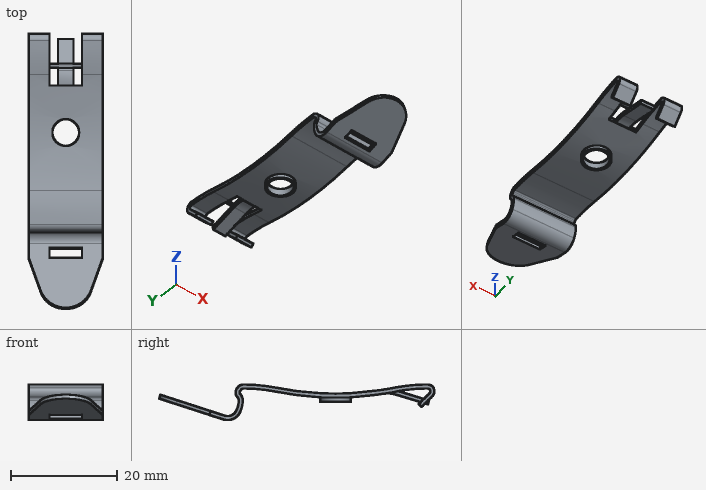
import cadquery as cq
import math


thickness = 0.8
half_thickness = thickness / 2
strip_width = 14.0

wave_half_length = 17.35
wave_rise = 1.72
inflection_y = 10.95
wave_angle = 2 * math.degrees(math.atan(wave_rise / wave_half_length))
wave_sine = math.sin(math.radians(wave_angle))
sag_radius = inflection_y / wave_sine + half_thickness
crown_radius = wave_half_length / wave_sine - sag_radius

hook_bend_radius = 0.9
hook_bend_angle = 135.0
hook_leg_length = 2.9

neck_bend_radius = 0.9
neck_entry_angle = 50.0
neck_flat_length = 0.3
neck_lean_angle = 43.0
neck_return_radius = 1.3
neck_wall_radius = 4.6
neck_wall_angle = 28.0
heel_radius = 2.2

tab_angle = 18.0
tab_straight_length = 2.77
tab_taper_angle = 19.0
tab_tip_radius = 5.0
tab_slot_start = 0.8
tab_slot_length = 2.0
tab_slot_width = 6.1

hole_diameter = 5.0
collar_diameter = 5.8
collar_depth = 0.8

window_width = tab_slot_width
window_start_y = 8.9
bar_start_y = 12.2
bar_width = 0.8
bar_thickness = 0.1
window_end_y = wave_half_length + 2 * (hook_bend_radius + half_thickness)
window_block_height = 20.0

tongue_width = 3.0
tongue_bend_radius = 6.0
tongue_slope = 17.0
tongue_leg_length = 6.2


def step(point, heading, distance):
    """Point at a distance from another one, along a heading in degrees in the YZ plane."""
    angle = math.radians(heading)
    return (point[0] + distance * math.cos(angle), point[1] + distance * math.sin(angle))


def arc_point(center, start_heading, turn, radius):
    """Point on an arc about a center, reached after a turn from the start heading."""
    return step(center, start_heading + turn - math.copysign(90, turn), radius)


def bent_sheet(start, heading, moves, width):
    """Sheet bent along a path of moves, and the point and heading where the path ends.

    A move is ("line", length) or ("arc", radius of the middle of the sheet, left turn).
    """
    left_edge = []
    right_edge = []
    point = start
    for move in moves:
        near_left = step(point, heading + 90, half_thickness)
        near_right = step(point, heading - 90, half_thickness)
        left_middle = None
        right_middle = None
        if move[0] == "line":
            point = step(point, heading, move[1])
        else:
            radius, turn = move[1:]
            side = math.copysign(1, turn)
            center = step(point, heading + 90 * side, radius)
            left_middle = arc_point(center, heading, turn / 2, radius - side * half_thickness)
            right_middle = arc_point(center, heading, turn / 2, radius + side * half_thickness)
            point = arc_point(center, heading, turn, radius)
            heading += turn
        left_edge.append((near_left, left_middle, step(point, heading + 90, half_thickness)))
        right_edge.append((near_right, right_middle, step(point, heading - 90, half_thickness)))

    outline = cq.Workplane("YZ").moveTo(*left_edge[0][0])
    for _, middle, end in left_edge:
        outline = outline.threePointArc(middle, end) if middle else outline.lineTo(*end)
    outline = outline.lineTo(*right_edge[-1][2])
    for start_point, middle, _ in reversed(right_edge):
        outline = outline.threePointArc(middle, start_point) if middle else outline.lineTo(*start_point)
    return outline.close().extrude(width / 2, both=True), point, heading


def hook_half():
    """Strip from the hole to the tip of the hook."""
    moves = [
        ("arc", sag_radius, wave_angle),
        ("arc", crown_radius, -wave_angle),
        ("arc", hook_bend_radius, -hook_bend_angle),
        ("line", hook_leg_length),
    ]
    return bent_sheet((0, -half_thickness), 0, moves, strip_width)[0]


def neck_half():
    """Strip from the hole to the heel, with the point and heading where the tab begins."""
    moves = [
        ("arc", sag_radius, -wave_angle),
        ("arc", crown_radius, wave_angle),
        ("arc", neck_bend_radius, neck_entry_angle),
        ("line", neck_flat_length),
        ("arc", neck_bend_radius, 90 + neck_lean_angle - neck_entry_angle),
        ("arc", neck_return_radius, -neck_lean_angle),
        ("arc", neck_wall_radius, -neck_wall_angle),
        ("arc", heel_radius, neck_wall_angle - 90 - tab_angle),
    ]
    return bent_sheet((0, -half_thickness), 180, moves, strip_width)


def tab(start, heading):
    """Flat tapered tab with a round tip and a cross slot."""
    normal = step((0, 0), heading + 90, 1)
    plane = cq.Plane(origin=(0, *start), xDir=(1, 0, 0), normal=(0, *normal))
    taper = math.radians(tab_taper_angle)
    tip_x = tab_tip_radius * math.cos(taper)
    tip_start = tab_straight_length + (strip_width / 2 - tip_x) / math.tan(taper)
    tip_end = tip_start + tab_tip_radius * (1 - math.sin(taper))
    plate = (
        cq.Workplane(plane)
        .moveTo(-strip_width / 2, 0)
        .lineTo(-strip_width / 2, tab_straight_length)
        .lineTo(-tip_x, tip_start)
        .threePointArc((0, tip_end), (tip_x, tip_start))
        .lineTo(strip_width / 2, tab_straight_length)
        .lineTo(strip_width / 2, 0)
        .close()
        .extrude(half_thickness, both=True)
    )
    slot = (
        cq.Workplane(plane)
        .center(0, tab_slot_start + tab_slot_length / 2)
        .rect(tab_slot_width, tab_slot_length)
        .extrude(thickness, both=True)
    )
    return plate.cut(slot)


def window_block(start_y, end_y):
    """Block as wide as the window that reaches through the strip, between two places along Y."""
    size = (window_width, end_y - start_y, window_block_height)
    return cq.Workplane("XY").box(*size).translate((0, (start_y + end_y) / 2, 0))


def cut_window(strip):
    """Open the window out to the +Y end, leaving a thin bar flush with the upper face."""
    bar = strip.intersect(window_block(bar_start_y, bar_start_y + bar_width))
    bar = bar.cut(bar.translate((0, 0, -bar_thickness)))
    return strip.cut(window_block(window_start_y, window_end_y)).union(bar)


def tongue():
    """Tongue that leaves the strip at the window's inner edge and bends down towards +Y."""
    start_heading = math.degrees(math.asin(window_start_y / sag_radius))
    sag_center = (0, sag_radius - half_thickness)
    start = arc_point(sag_center, 0, start_heading, sag_radius)
    moves = [
        ("arc", tongue_bend_radius, -start_heading - tongue_slope),
        ("line", tongue_leg_length),
    ]
    return bent_sheet(start, start_heading, moves, tongue_width)[0]


def collar():
    """Round collar below the strip, around the hole."""
    bottom_z = -thickness - collar_depth
    return (
        cq.Workplane("XY")
        .workplane(offset=bottom_z)
        .circle(collar_diameter / 2)
        .extrude(-half_thickness - bottom_z)
    )


def hole():
    """Mounting hole through the strip and the collar."""
    reach = 2 * (thickness + collar_depth)
    return cq.Workplane("XY").circle(hole_diameter / 2).extrude(reach, both=True)


neck, tab_start, tab_heading = neck_half()
strip = hook_half().union(neck).union(tab(tab_start, tab_heading))
strip = cut_window(strip)
result = strip.union(tongue()).union(collar()).cut(hole())